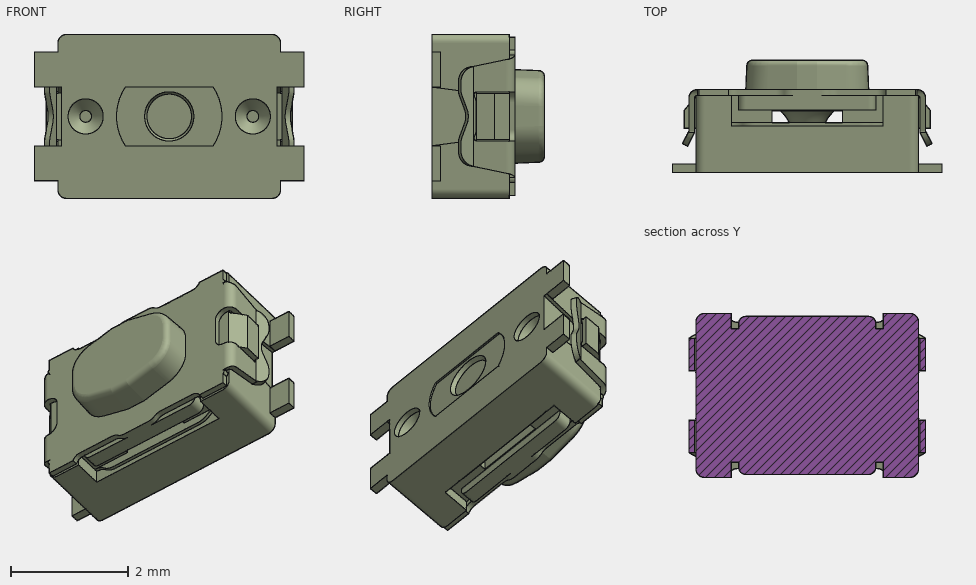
import cadquery as cq
import math


HOUSING_X = 3.8
HOUSING_Z = 2.8
HOUSING_TOP = 1.32
HOUSING_CORNER_R = 0.15
TAB_SPAN_X = 4.6
TAB_WIDTH = 0.6
TAB_GAP = 1.0
TAB_THICKNESS = 0.15

RECESS_DEPTH = 0.06
RECESS_TOP = 0.757
RECESS_TOP_WIDTH = 0.8
HOOK_WIDTH = 0.788
HOOK_REACH_X = 2.1
HOOK_RAMP_START = 1.065
HOOK_RAMP_TOP_X = 1.88

LABEL_DEPTH = 0.03
LABEL_R = 0.9
LABEL_WIDTH = 1.0
POCKET_DEPTH = 0.11
POCKET_MOUTH_R = 0.435
POCKET_FLOOR_R = 0.38
HOLE_PITCH = 2.85
HOLE_R = 0.3
HOLE_STRAIGHT_DEPTH = 0.1
HOLE_FLOOR_R = 0.1

SLOT_X = 2.59
SLOT_BOTTOM = 0.8
SLOT_BACK_Z = 1.14
LEDGE_TOP = 0.855
LEDGE_FLAT_X = 1.792
LEDGE_Z = 1.3
CHANNEL_X = 1.2
CHANNEL_TOP = 1.055
STRIP_X = 2.34
STRIP_BOTTOM = 1.07
STRIP_CORNER_R = 0.125
PLUNGER_TOP_R = 0.46
PLUNGER_MID_R = 0.37
PLUNGER_TIP_R = 0.31

SHEET = 0.1
COVER_X = 3.688
COVER_Z = 2.7
COVER_TOP = HOUSING_TOP + SHEET
CUTOUT_DEPTH = 0.1
CUTOUT_END_X = 1.339
CUTOUT_END_RUN = 0.142
BRIDGE_FLAT_X = 0.506
BRIDGE_RAMP = 0.27

EAR_OUTER_X = 2.02
BEND_R = 0.15
EAR_TOP_HALF_Z = 1.045
EAR_BEND_HALF_Z = 0.98
EAR_LOW_HALF_Z = 0.853
EAR_CORNER_HALF_Z = 1.13
EAR_CORNER_R = 0.1
EAR_FOLD_Y = 0.71
WINDOW_WIDTH = 0.84
WINDOW_BOTTOM = 0.72
WINDOW_SILL_Y = 0.751
WINDOW_SILL_TOP_WIDTH = 0.54
WINDOW_SILL_FOOT_WIDTH = 0.72
WINDOW_INNER_X = 1.68
WINDOW_INNER_R = 0.18
WINDOW_OUTER_R = 0.05

LIP_ANGLE = 27.0
LIP_LENGTH = 0.265
LIP_END_HALF_Z = 0.8
LIP_CORNER_R = 0.26
LIP_NOTCH_HALF_Z = 0.4
LIP_NOTCH_V = 0.097
LIP_NOTCH_R = 0.32

BUTTON_TOP = 1.92
BUTTON_HALF_X = 1.05
BUTTON_HALF_Z = 0.8
BUTTON_FLAT_X = 0.173
BUTTON_SIDE_Z = 0.567
BUTTON_SIDE_R = 0.5
BUTTON_DRAFT = 2.5
BUTTON_TOP_R = 0.1

SELECT_MARGIN = 0.01

HALF_Z = HOUSING_Z / 2
INNER_WALL_X = HOUSING_X / 2 - RECESS_DEPTH
EAR_INNER_X = EAR_OUTER_X - SHEET
FOLD_INNER_Y = EAR_FOLD_Y - SHEET * math.tan(math.radians(LIP_ANGLE) / 2)


def block(x0, x1, y0, y1, half_z):
    """Box between two X and two Y values, centred on Z = 0."""
    return (
        cq.Workplane("XY")
        .box(x1 - x0, y1 - y0, 2 * half_z)
        .translate(((x0 + x1) / 2, (y0 + y1) / 2, 0))
    )


def both_ends(solid):
    """The solid together with its mirror image across X = 0."""
    return solid.union(solid.mirror("YZ"))


def both_sides(solid):
    """The solid together with its mirror image across Z = 0."""
    return solid.union(solid.mirror("XY"))


def housing():
    """Rounded rectangular housing with two solder tabs at each end."""
    body = block(-HOUSING_X / 2, HOUSING_X / 2, 0, HOUSING_TOP, HALF_Z)
    body = body.edges("|Y").fillet(HOUSING_CORNER_R)
    tab_z = (TAB_GAP + TAB_WIDTH) / 2
    for side in (-1, 1):
        tab_pair = block(-TAB_SPAN_X / 2, TAB_SPAN_X / 2, 0, TAB_THICKNESS, TAB_WIDTH / 2)
        body = body.union(tab_pair.translate((0, 0, side * tab_z)))
    return body


def end_recess():
    """Recess whose sides close in from the solder tabs, running on straight behind the hook."""
    half_mouth = TAB_GAP / 2
    half_top = RECESS_TOP_WIDTH / 2
    taper = (
        cq.Workplane("ZY", origin=(TAB_SPAN_X / 2, 0, 0))
        .polyline([(-half_mouth, 0), (half_mouth, 0), (half_top, RECESS_TOP), (-half_top, RECESS_TOP)])
        .close()
        .extrude(TAB_SPAN_X / 2 - INNER_WALL_X)
    )
    behind_hook = block(INNER_WALL_X, HOUSING_X / 2, RECESS_TOP, HOUSING_TOP, HOOK_WIDTH / 2)
    return taper.union(behind_hook)


def hook():
    """Latch hook with a flat underside and a lead-in ramp."""
    root_x = INNER_WALL_X - RECESS_DEPTH
    return (
        cq.Workplane("XY")
        .moveTo(root_x, RECESS_TOP)
        .lineTo(HOOK_REACH_X, RECESS_TOP)
        .lineTo(HOOK_REACH_X, HOOK_RAMP_START)
        .lineTo(HOOK_RAMP_TOP_X, HOUSING_TOP)
        .lineTo(root_x, HOUSING_TOP)
        .close()
        .extrude(HOOK_WIDTH / 2, both=True)
    )


def revolved(points):
    """Solid of revolution about the Y axis from (radius, y) points."""
    return cq.Workplane("XY").polyline(points).close().revolve(360, (0, 0), (0, 1))


def mounting_face_marks():
    """Label recess with a tapered centre pocket, and two conical locating holes."""
    label = revolved([(0, 0), (LABEL_R, 0), (LABEL_R, LABEL_DEPTH), (0, LABEL_DEPTH)])
    label = label.intersect(block(-LABEL_R, LABEL_R, 0, LABEL_DEPTH, LABEL_WIDTH / 2))
    pocket = revolved([(0, 0), (POCKET_MOUTH_R, 0), (POCKET_FLOOR_R, POCKET_DEPTH), (0, POCKET_DEPTH)])
    hole_depth = HOLE_STRAIGHT_DEPTH + HOLE_R - HOLE_FLOOR_R
    hole = revolved([
        (0, 0),
        (HOLE_R, 0),
        (HOLE_R, HOLE_STRAIGHT_DEPTH),
        (HOLE_FLOOR_R, hole_depth),
        (0, hole_depth),
    ])
    return label.union(pocket).union(both_ends(hole.translate((HOLE_PITCH / 2, 0, 0))))


def level_arc(start, end):
    """Point on the way along the arc that leaves start along X and reaches end."""
    dx = end[0] - start[0]
    dz = end[1] - start[1]
    radius = (dx**2 + dz**2) / (2 * abs(dz))
    half_turn = math.atan(abs(dz / dx))
    along = math.copysign(radius * math.sin(half_turn), dx)
    across = math.copysign(radius * (1 - math.cos(half_turn)), dz)
    return (start[0] + along, start[1] + across)


def s_curve(sketch, start, end):
    """Continue a sketch from start to end with two equal arcs, level at both ends."""
    middle = ((start[0] + end[0]) / 2, (start[1] + end[1]) / 2)
    sketch = sketch.threePointArc(level_arc(start, middle), middle)
    return sketch.threePointArc(level_arc(end, middle), end)


def slots():
    """A slot in each long wall, joined by a channel through the housing."""
    slot_depth = HALF_Z - SLOT_BACK_Z
    slot = block(-SLOT_X / 2, SLOT_X / 2, SLOT_BOTTOM, HOUSING_TOP, slot_depth / 2)
    slot = slot.translate((0, 0, SLOT_BACK_Z + slot_depth / 2))
    channel = block(-CHANNEL_X / 2, CHANNEL_X / 2, LEDGE_TOP, CHANNEL_TOP, HALF_Z)
    return both_sides(slot).union(channel)


def ledges():
    """Low ledge on the floor of each slot, curving back toward the slot ends."""
    flat_end = (LEDGE_FLAT_X / 2, LEDGE_Z)
    slot_end = (SLOT_X / 2, SLOT_BACK_Z)
    half = cq.Workplane("XZ", origin=(0, SLOT_BOTTOM, 0)).moveTo(0, LEDGE_Z).lineTo(*flat_end)
    half = s_curve(half, flat_end, slot_end)
    half = half.lineTo(slot_end[0], 0).lineTo(0, 0).close().extrude(SLOT_BOTTOM - LEDGE_TOP)
    channel_floor = block(-SLOT_X / 2, SLOT_X / 2, SLOT_BOTTOM, LEDGE_TOP, SLOT_BACK_Z)
    return both_sides(both_ends(half)).union(channel_floor)


def strip_and_plunger():
    """Strip under the cover and the bell-shaped plunger hanging from it."""
    strip = block(-STRIP_X / 2, STRIP_X / 2, STRIP_BOTTOM, HOUSING_TOP, COVER_Z / 2)
    strip = strip.edges("|Y").fillet(STRIP_CORNER_R)
    plunger = (
        cq.Workplane("XY")
        .moveTo(0, LEDGE_TOP)
        .lineTo(PLUNGER_TIP_R, LEDGE_TOP)
        .threePointArc((PLUNGER_MID_R, (LEDGE_TOP + CHANNEL_TOP) / 2), (PLUNGER_TOP_R, CHANNEL_TOP))
        .lineTo(PLUNGER_TOP_R, STRIP_BOTTOM)
        .lineTo(0, STRIP_BOTTOM)
        .close()
        .revolve(360, (0, 0), (0, 1))
    )
    return strip.union(plunger)


def cover_plate():
    """Flat cover with two curved cutouts in each long edge and a bridge between them."""
    plate = block(-COVER_X / 2, COVER_X / 2, HOUSING_TOP, COVER_TOP, COVER_Z / 2)
    edge_z = COVER_Z / 2
    inner_z = edge_z - CUTOUT_DEPTH
    outer = (CUTOUT_END_X, edge_z)
    floor_outer = (CUTOUT_END_X - CUTOUT_END_RUN, inner_z)
    bridge_top = (BRIDGE_FLAT_X / 2, edge_z)
    bridge_foot = (bridge_top[0] + BRIDGE_RAMP, inner_z)
    cutout = (
        cq.Workplane("XZ", origin=(0, HOUSING_TOP, 0))
        .moveTo(*outer)
        .threePointArc(level_arc(floor_outer, outer), floor_outer)
        .lineTo(*bridge_foot)
    )
    cutout = s_curve(cutout, bridge_foot, bridge_top).close().extrude(-SHEET)
    return plate.cut(both_sides(both_ends(cutout)))


def ear_sheet():
    """Sheet bent down over the end wall, trimmed to its tapering side outline."""
    bend_y = COVER_TOP - BEND_R
    bend_x = EAR_OUTER_X - BEND_R
    inner_r = BEND_R - SHEET
    arc_x = math.cos(math.pi / 4)
    bent = (
        cq.Workplane("XY")
        .moveTo(WINDOW_INNER_X, COVER_TOP)
        .lineTo(bend_x, COVER_TOP)
        .threePointArc((bend_x + BEND_R * arc_x, bend_y + BEND_R * arc_x), (EAR_OUTER_X, bend_y))
        .lineTo(EAR_OUTER_X, FOLD_INNER_Y)
        .lineTo(EAR_INNER_X, FOLD_INNER_Y)
        .lineTo(EAR_INNER_X, bend_y)
        .threePointArc((bend_x + inner_r * arc_x, bend_y + inner_r * arc_x), (bend_x, HOUSING_TOP))
        .lineTo(WINDOW_INNER_X, HOUSING_TOP)
        .close()
        .extrude(EAR_TOP_HALF_Z, both=True)
    )
    outline = (
        cq.Workplane("ZY", origin=(EAR_OUTER_X, 0, 0))
        .moveTo(0, COVER_TOP)
        .lineTo(EAR_TOP_HALF_Z, COVER_TOP)
        .radiusArc((EAR_BEND_HALF_Z, HOUSING_TOP), -BEND_R)
        .lineTo(EAR_LOW_HALF_Z, EAR_FOLD_Y)
        .lineTo(EAR_LOW_HALF_Z, FOLD_INNER_Y)
        .lineTo(0, FOLD_INNER_Y)
        .close()
        .extrude(EAR_OUTER_X - WINDOW_INNER_X)
    )
    return bent.intersect(both_sides(outline))


def ear_corner():
    """Concave corner where the side of the ear runs into the end of the cover."""
    root = (COVER_X / 2, EAR_CORNER_HALF_Z)
    tip = (EAR_OUTER_X - BEND_R, EAR_TOP_HALF_Z)
    return (
        cq.Workplane("XZ", origin=(0, HOUSING_TOP, 0))
        .moveTo(*root)
        .radiusArc(tip, EAR_CORNER_R)
        .lineTo(root[0], tip[1])
        .close()
        .extrude(-SHEET)
    )


def ear_window():
    """Opening for the hook, from the ear into the cover, with a raised sill under the hook."""
    window = block(WINDOW_INNER_X, EAR_OUTER_X, WINDOW_BOTTOM, COVER_TOP, WINDOW_WIDTH / 2)
    window = window.edges("|Y and <X").fillet(WINDOW_INNER_R)
    window = window.edges("|X and <Y").fillet(WINDOW_OUTER_R)
    half_foot = WINDOW_SILL_FOOT_WIDTH / 2
    half_top = WINDOW_SILL_TOP_WIDTH / 2
    sill = (
        cq.Workplane("ZY", origin=(EAR_OUTER_X, 0, 0))
        .moveTo(-half_foot, WINDOW_BOTTOM)
        .lineTo(half_foot, WINDOW_BOTTOM)
        .lineTo(half_top, WINDOW_SILL_Y)
        .lineTo(-half_top, WINDOW_SILL_Y)
        .close()
        .extrude(SHEET)
    )
    return window.cut(sill)


def fillet_x_edges(solid, y, radius):
    """Round the edges that run along X at height y."""
    band = cq.selectors.BoxSelector(
        (-TAB_SPAN_X, y - SELECT_MARGIN, -HALF_Z),
        (TAB_SPAN_X, y + SELECT_MARGIN, HALF_Z),
    )
    return solid.edges("|X").edges(band).fillet(radius)


def lip():
    """Flared lip, shaped flat with a notch between two rounded lobes, then tilted outward."""
    end_y = FOLD_INNER_Y - LIP_LENGTH
    valley_y = FOLD_INNER_Y - LIP_NOTCH_V
    flat = (
        cq.Workplane("ZY", origin=(EAR_OUTER_X, 0, 0))
        .polyline([
            (-EAR_LOW_HALF_Z, FOLD_INNER_Y),
            (-LIP_END_HALF_Z, end_y),
            (-LIP_NOTCH_HALF_Z, end_y),
            (0, valley_y),
            (LIP_NOTCH_HALF_Z, end_y),
            (LIP_END_HALF_Z, end_y),
            (EAR_LOW_HALF_Z, FOLD_INNER_Y),
        ])
        .close()
        .extrude(SHEET)
    )
    flat = fillet_x_edges(flat, end_y, LIP_CORNER_R)
    flat = fillet_x_edges(flat, valley_y, LIP_NOTCH_R)
    pivot = (EAR_INNER_X, FOLD_INNER_Y)
    return flat.rotate((*pivot, 0), (*pivot, 1), LIP_ANGLE)


def button():
    """Eight-sided tapered button with rounded ends and a rounded top edge."""
    quarter = [(BUTTON_HALF_Z, BUTTON_FLAT_X), (BUTTON_SIDE_Z, BUTTON_HALF_X)]
    half = quarter + [(-z, x) for z, x in reversed(quarter)]
    outline = half + [(z, -x) for z, x in reversed(half)]
    prism = (
        cq.Workplane("ZX", origin=(0, COVER_TOP, 0))
        .polyline(outline)
        .close()
        .extrude(BUTTON_TOP - COVER_TOP, taper=BUTTON_DRAFT)
    )
    mid_y = (COVER_TOP + BUTTON_TOP) / 2
    for side in (-1, 1):
        end_edges = cq.selectors.BoxSelector(
            (side * BUTTON_SIDE_Z, mid_y - SELECT_MARGIN, -HALF_Z),
            (side * TAB_SPAN_X, mid_y + SELECT_MARGIN, HALF_Z),
        )
        prism = prism.edges(end_edges).fillet(BUTTON_SIDE_R)
    return prism.faces(">Y").edges().fillet(BUTTON_TOP_R)


base = housing().cut(mounting_face_marks()).cut(slots())
base = base.cut(both_ends(end_recess())).union(both_ends(hook()))
base = base.union(ledges()).union(strip_and_plunger())

ear = ear_sheet().union(both_sides(ear_corner())).union(lip())
cover = cover_plate().union(both_ends(ear)).cut(both_ends(ear_window()))

result = base.union(cover).union(button())